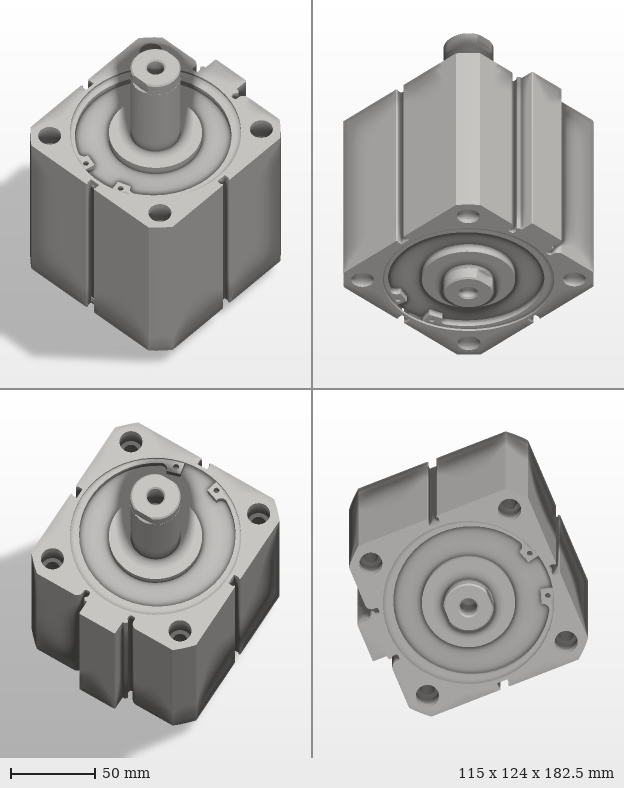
import cadquery as cq
import math

body_width = 115.0
body_height = 112.6
half_width = body_width / 2
corner_radius = 74.5
bore_radius = 51.0

hole_offset = 44.5
hole_diameter = 8.8
counterbore_diameter = 13.7
counterbore_depth = 14.6

slot_mouth_width = 5.1
slot_width = 6.5
slot_lip = 1.1
slot_mouth_chamfer = 0.5
slot_depth = 4.5

rail_width = 25.0
rail_height = 9.0
rail_edge_radius = 0.7
pocket_inner = 13.7
pocket_width = 4.0
pocket_corner_radius = 1.3
pocket_depth = 6.4
pocket_lead_in_radius = 4.0
lip_start = 14.0
lip_tip = 15.3
lip_tip_depth = 1.5
lip_end_depth = 3.5

ring_inset = 1.5
ring_thickness = 4.2
ring_outer_radius = 53.1
ring_inner_radius = 46.5
ring_inner_shift = 2.0
ring_gap_angle = 12.7
lug_end_angle = 23.8
lug_inner_distance = 43.3
lug_fillet = 3.6
lug_hole_distance = 47.3
lug_hole_angle = 17.5
lug_hole_diameter = 3.5
upper_ring_turn = -0.9

cover_thickness = 14.6
boss_radius = 27.7

rod_radius = 15.0
rod_length = 182.5
rod_bottom = -10.0
rod_end_relief = 0.1
rod_end_length = 8.2
rod_tip_chamfer = 1.0
flats_distance = 27.0
flats_runout = 1.0
socket_radius = 5.1
socket_depth = 21.9
socket_chamfer = 1.0
drill_point_angle = 118.0

rod_top = rod_bottom + rod_length
rod_end_radius = rod_radius - rod_end_relief
cover_inset = ring_inset + ring_thickness


def cylinder(radius, height, bottom=0.0):
    return cq.Workplane("XY").workplane(offset=bottom).circle(radius).extrude(height)


def flip_to_bottom(shape):
    """Mirror a shape from the upper end of the housing to its lower end."""
    return shape.mirror("XY", (0, 0, body_height / 2))


def make_sensor_slot():
    """Cutter for the slot in the -Y side."""
    mouth = slot_mouth_width / 2
    half = slot_width / 2
    face = -half_width
    points = [
        (-mouth - slot_mouth_chamfer, face),
        (mouth + slot_mouth_chamfer, face),
        (mouth, face + slot_mouth_chamfer),
        (mouth, face + slot_lip),
        (half, face + slot_lip),
        (half, face + slot_depth),
        (-half, face + slot_depth),
        (-half, face + slot_lip),
        (-mouth, face + slot_lip),
        (-mouth, face + slot_mouth_chamfer),
    ]
    return cq.Workplane("XY").polyline(points).close().extrude(body_height)


def make_rail_pocket():
    """Cutter for the undercut pocket on the +X side of the rail."""
    face = half_width
    outer = pocket_inner + pocket_width
    floor = face - pocket_depth
    lead_in_offset = pocket_lead_in_radius * (1 - math.sqrt(0.5))
    return (
        cq.Workplane("XY")
        .moveTo(lip_start, face)
        .lineTo(lip_tip, face - lip_tip_depth)
        .lineTo(pocket_inner, face - lip_end_depth)
        .lineTo(pocket_inner, floor)
        .lineTo(outer, floor)
        .lineTo(outer, face - pocket_lead_in_radius)
        .threePointArc(
            (outer + lead_in_offset, face - lead_in_offset),
            (outer + pocket_lead_in_radius, face),
        )
        .close()
        .extrude(body_height)
        .edges("|Z and <Y")
        .fillet(pocket_corner_radius)
    )


def make_rail():
    return (
        cq.Workplane("XY")
        .center(0, half_width)
        .rect(rail_width, 2 * rail_height)
        .extrude(body_height)
        .edges("|Z and >Y")
        .fillet(rail_edge_radius)
    )


def make_housing():
    block = cq.Workplane("XY").rect(body_width, body_width).extrude(body_height)
    housing = block.intersect(cylinder(corner_radius, body_height))
    housing = housing.union(make_rail())

    pocket = make_rail_pocket()
    housing = housing.cut(pocket).cut(pocket.mirror("YZ"))

    slot = make_sensor_slot()
    for angle in (-90, 0, 90):
        housing = housing.cut(slot.rotate((0, 0, 0), (0, 0, 1), angle))

    groove = cylinder(ring_outer_radius, ring_thickness, body_height - cover_inset)
    housing = housing.cut(cylinder(bore_radius, body_height))
    housing = housing.cut(groove).cut(flip_to_bottom(groove))

    for x in (-hole_offset, hole_offset):
        for y in (-hole_offset, hole_offset):
            counterbore = cylinder(
                counterbore_diameter / 2, counterbore_depth, body_height - counterbore_depth
            ).translate((x, y, 0))
            hole = cylinder(hole_diameter / 2, body_height).translate((x, y, 0))
            housing = housing.cut(hole).cut(counterbore).cut(flip_to_bottom(counterbore))
    return housing


def point_at(radius, angle):
    """Point at an angle in degrees, measured from -Y toward +X."""
    return (radius * math.sin(math.radians(angle)), -radius * math.cos(math.radians(angle)))


def make_retaining_ring():
    """Upper retaining ring, with its gap toward -Y."""
    bottom = body_height - cover_inset
    ring = cylinder(ring_outer_radius, ring_thickness, bottom)
    opening = cylinder(ring_inner_radius, ring_thickness, bottom)
    ring = ring.cut(opening.translate((0, -ring_inner_shift, 0)))

    lug_half_angle = (lug_end_angle - ring_gap_angle) / 2
    lug_corner_radius = lug_inner_distance / math.cos(math.radians(lug_half_angle))
    lug = (
        cq.Workplane("XY")
        .workplane(offset=bottom)
        .polyline([
            point_at(lug_corner_radius, ring_gap_angle),
            point_at(bore_radius, ring_gap_angle),
            point_at(bore_radius, lug_end_angle),
            point_at(lug_corner_radius, lug_end_angle),
        ])
        .close()
        .extrude(ring_thickness)
    )
    lug_hole = cylinder(lug_hole_diameter / 2, ring_thickness, bottom)
    lug_hole = lug_hole.translate((*point_at(lug_hole_distance, lug_hole_angle), 0))

    gap_reach = 2 * ring_outer_radius
    gap = (
        cq.Workplane("XY")
        .workplane(offset=bottom)
        .polyline([
            (0, 0),
            point_at(gap_reach, -ring_gap_angle),
            point_at(gap_reach, ring_gap_angle),
        ])
        .close()
        .extrude(ring_thickness)
    )

    ring = ring.union(lug).union(lug.mirror("YZ")).cut(gap)

    end_angle = math.radians(lug_end_angle)
    shift_along = ring_inner_shift * math.cos(end_angle)
    shift_across = ring_inner_shift * math.sin(end_angle)
    root_radius = shift_along + math.sqrt(ring_inner_radius**2 - shift_across**2)
    root_z = bottom + ring_thickness / 2
    for side in (-1, 1):
        x, y = point_at(root_radius, side * lug_end_angle)
        ring = ring.edges(cq.NearestToPointSelector((x, y, root_z))).fillet(lug_fillet)

    return ring.cut(lug_hole).cut(lug_hole.mirror("YZ"))


def make_cover():
    """Upper cover: a disc under the ring with a boss flush with the housing end."""
    bottom = body_height - cover_inset - cover_thickness
    disc = cylinder(bore_radius, cover_thickness, bottom)
    boss = cylinder(boss_radius, cover_thickness + cover_inset, bottom)
    return disc.union(boss).cut(cylinder(rod_radius, body_height))


def make_rod_end():
    """Upper rod end: two flats that run out in bevels at the end of the shank."""
    end_bottom = rod_top - rod_end_length
    end = cylinder(rod_end_radius, rod_end_length, end_bottom)
    end = end.faces(">Z").chamfer(rod_tip_chamfer)
    half_flats = flats_distance / 2
    flats_profile = [
        (-rod_radius, end_bottom),
        (rod_radius, end_bottom),
        (half_flats, end_bottom + flats_runout),
        (half_flats, rod_top),
        (-half_flats, rod_top),
        (-half_flats, end_bottom + flats_runout),
    ]
    slab = cq.Workplane("YZ").polyline(flats_profile).close().extrude(rod_radius, both=True)
    return end.intersect(slab)


def make_socket():
    """Cutter for the chamfered, drilled socket in the upper rod end."""
    mouth_radius = socket_radius + socket_chamfer
    point_height = socket_radius / math.tan(math.radians(drill_point_angle / 2))
    profile = [
        (0, rod_top),
        (mouth_radius, rod_top),
        (socket_radius, rod_top - socket_chamfer),
        (socket_radius, rod_top - socket_depth),
        (0, rod_top - socket_depth - point_height),
    ]
    return cq.Workplane("XZ").polyline(profile).close().revolve(360, (0, 0), (0, 1))


def make_rod():
    middle = rod_bottom + rod_length / 2
    rod = cylinder(rod_radius, rod_length - 2 * rod_end_length, rod_bottom + rod_end_length)
    end = make_rod_end()
    socket = make_socket()
    rod = rod.union(end).union(end.mirror("XY", (0, 0, middle)))
    return rod.cut(socket).cut(socket.mirror("XY", (0, 0, middle)))


housing = make_housing()
rod = make_rod()

covers = []
retaining_rings = []
for upper in (True, False):
    cover = make_cover()
    retaining_ring = make_retaining_ring()
    if upper:
        retaining_ring = retaining_ring.rotate((0, 0, 0), (0, 0, 1), upper_ring_turn)
    else:
        cover = flip_to_bottom(cover)
        retaining_ring = flip_to_bottom(retaining_ring)
    covers.append(cover)
    retaining_rings.append(retaining_ring)

result = cq.Compound.makeCompound([
    housing.val(),
    rod.val(),
    *[cover.val() for cover in covers],
    *[retaining_ring.val() for retaining_ring in retaining_rings],
])